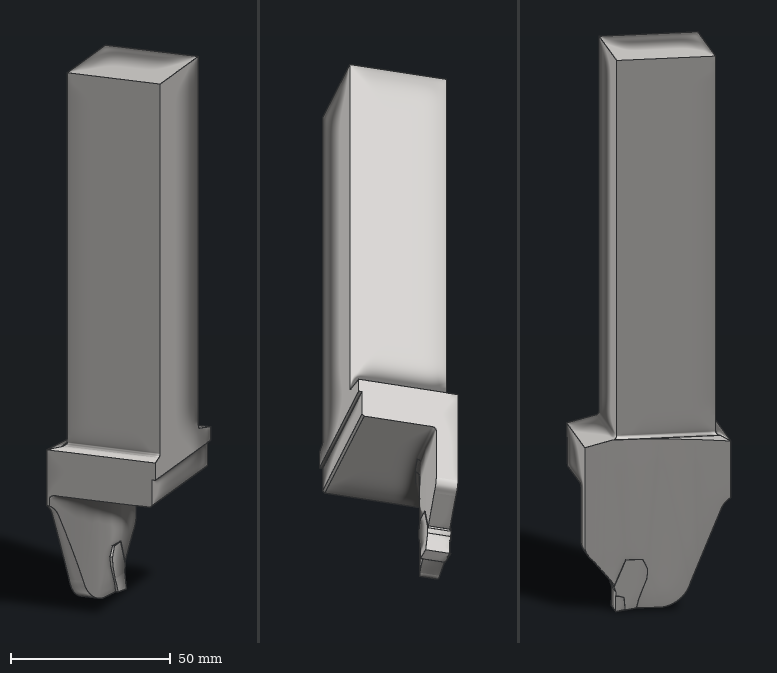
import cadquery as cq

total_height = 177.8
head_depth = 45.7
head_width = 36.8

shank_width = 31.5
shank_front = 4.0
shank_back = shank_front + shank_width
flare_radius = 1.2

head_top = 55.5
head_bottom = 39.8
front_slope_start = shank_front - flare_radius
front_top = 54.5
back_slope_start = shank_back + flare_radius
back_top = 53.3
side_step_height = 48.9
side_step_inset = 1.0
bottom_chamfer = 0.7

outer_face_x = -32.4
outer_middle_x = -33.0
back_land = 0.7
outer_arc_end = head_depth - back_land
inner_face_x = -25.2
inner_arc_start = -36.0
inner_arc_end = 33.8
root_radius = 1.5

BACK_CORNER_ARC = [(head_depth, 21.0), (45.0, 18.8), (43.2, 16.7)]
INSERT_SEAT = [(36.5, 8.7), (36.5, 8.0), (29.3, 0.9)]
NOSE_ARC = [(21.3, 0.9), (15.5, 3.7), (12.5, 8.7)]
FRONT_CORNER_ARC = [(2.8, 32.9), (1.8, 34.7), (0.0, 36.3)]

insert_outer_x = -32.7
insert_inner_x = -25.0
tip_inner_x = -24.5
insert_flare_height = 5.3
relief_depth = 0.4

INSERT_OUTLINE = [
    (36.0, 0.0), (29.3, 0.9), (28.6, 3.7), (26.0, 10.5), (25.8, 13.3),
    (26.7, 15.3), (27.4, 16.5), (32.7, 16.5), (36.5, 8.0), (36.0, 6.4),
]
RELIEF_OUTLINE = [(36.0, 0.0), (32.9, 0.5), (33.2, 4.5), (35.0, 5.0), (36.0, 5.0)]


def box(x_range, y_range, z_range):
    """Box between the given limits on each axis."""
    low, high = zip(x_range, y_range, z_range)
    sizes = [b - a for a, b in zip(low, high)]
    return cq.Workplane("XY").box(*sizes, centered=False).translate(low)


def outer_plan():
    """Path of the outer face in plan, from the front edge to the back."""
    middle = (outer_middle_x, outer_arc_end / 2)
    return (
        cq.Workplane("XY")
        .moveTo(-head_width, 0)
        .threePointArc(middle, (outer_face_x, outer_arc_end))
        .lineTo(outer_face_x, head_depth)
    )


def side_profile():
    """Outline of head and blade in the Y-Z plane, extruded across the width."""
    return (
        cq.Workplane("YZ")
        .moveTo(front_slope_start, head_top)
        .lineTo(back_slope_start, head_top)
        .lineTo(head_depth, back_top)
        .lineTo(*BACK_CORNER_ARC[0])
        .threePointArc(*BACK_CORNER_ARC[1:])
        .polyline(INSERT_SEAT, includeCurrent=True)
        .lineTo(*NOSE_ARC[0])
        .threePointArc(*NOSE_ARC[1:])
        .lineTo(*FRONT_CORNER_ARC[0])
        .threePointArc(*FRONT_CORNER_ARC[1:])
        .lineTo(0, front_top)
        .close()
        .extrude(-head_width)
    )


def head_block():
    """Upper block, with a stepped right side and a sloped shoulder on the left."""
    height = head_top - head_bottom
    block = outer_plan().lineTo(0, head_depth).lineTo(0, 0).close().extrude(height)
    block = block.translate((0, 0, head_bottom))
    section = (
        cq.Workplane("XZ")
        .moveTo(0, head_top)
        .lineTo(outer_face_x, head_top)
        .lineTo(-head_width, front_top)
        .lineTo(-head_width, head_bottom)
        .lineTo(-side_step_inset - bottom_chamfer, head_bottom)
        .lineTo(-side_step_inset, head_bottom + bottom_chamfer)
        .lineTo(-side_step_inset, side_step_height)
        .lineTo(0, side_step_height)
        .close()
        .extrude(-head_depth)
    )
    return block.intersect(section)


def close_inner(outline):
    """Close a blade plan along its inner face."""
    middle_x = inner_face_x + (inner_arc_start - inner_face_x) / 4
    middle = (middle_x, inner_arc_end / 2)
    return (
        outline.lineTo(inner_face_x, head_depth)
        .lineTo(inner_face_x, inner_arc_end)
        .threePointArc(middle, (inner_arc_start, 0))
        .close()
    )


def blade():
    """Thin curved blade below the head."""
    return close_inner(outer_plan()).extrude(head_bottom)


def shank():
    """Square shank with a concave flare on its left, front and back sides."""
    flare_top = head_top + flare_radius
    flare_left = -shank_width - flare_radius
    flare_front = shank_front - flare_radius
    flare_back = shank_back + flare_radius
    bar = box((-shank_width, 0), (shank_front, shank_back), (head_top, total_height))
    flare = box((flare_left, 0), (flare_front, flare_back), (head_top, flare_top))
    for y in (flare_front, flare_back):
        hollow = cq.Workplane("YZ").center(y, flare_top).circle(flare_radius).extrude(-head_width)
        flare = flare.cut(hollow)
    side_hollow = (
        cq.Workplane("XZ").center(flare_left, flare_top).circle(flare_radius).extrude(-head_depth)
    )
    return bar.union(flare.cut(side_hollow))


def insert_prism():
    """Insert outline extruded through the whole width of the tool."""
    return cq.Workplane("YZ").polyline(INSERT_OUTLINE).close().extrude(-head_width)


def make_holder():
    """Shank, head and blade in one piece, with the seat cut for the insert."""
    head = head_block().union(blade())
    root_edges = cq.selectors.BoxSelector(
        (inner_arc_start - root_radius, 0, head_bottom - root_radius / 2),
        (inner_face_x + root_radius, head_depth, head_bottom + root_radius / 2),
    )
    head = head.edges(root_edges).fillet(root_radius)
    head = head.intersect(side_profile())
    return head.union(shank()).cut(insert_prism())


def make_insert():
    """Cutting insert with an inner face that flares at the tip and a chip relief."""
    section = (
        cq.Workplane("XZ")
        .moveTo(insert_outer_x, 0)
        .lineTo(tip_inner_x, 0)
        .lineTo(insert_inner_x, insert_flare_height)
        .lineTo(insert_inner_x, head_bottom)
        .lineTo(insert_outer_x, head_bottom)
        .close()
        .extrude(-head_depth)
    )
    relief = (
        cq.Workplane("YZ", origin=(insert_outer_x, 0, 0))
        .polyline(RELIEF_OUTLINE)
        .close()
        .extrude(relief_depth)
    )
    return insert_prism().intersect(section).cut(relief)


holder = make_holder()
cutting_insert = make_insert()
result = cq.Compound.makeCompound([holder.val(), cutting_insert.val()])